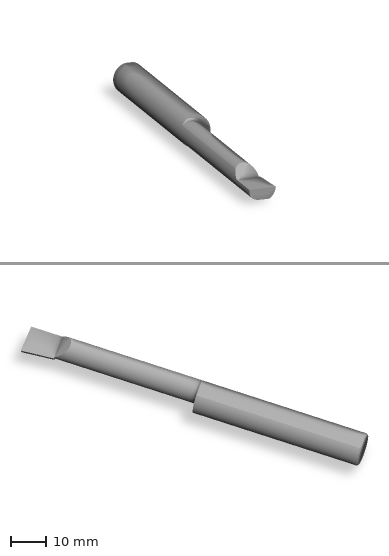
import cadquery as cq
import math

total_length = 101.6

shank_diameter = 9.5
shank_radius = shank_diameter / 2
shank_length = 49.5
shank_chamfer = 0.4
flat_height = 4.5

neck_radius = 3.6
neck_axis_y = -1.5
neck_root_chamfer = 0.6

rake_face_start = 91.9
runout_angle = 45.0

tooth_tip_y = 3.3
tooth_back_y = 2.4
front_relief_angle = 8.0
end_cutting_angle = 2.0


def make_shank():
    shank = cq.Workplane("YZ").circle(shank_radius).extrude(shank_length)
    shank = shank.faces("<X").chamfer(shank_chamfer)
    flat_cutter = cq.Workplane("XY").workplane(offset=flat_height).rect(
        2 * total_length, shank_diameter
    ).extrude(shank_diameter)
    return shank.cut(flat_cutter)


def revolve_on_neck_axis(profile):
    """Turn an (x, radius) profile about the neck axis."""
    return (
        cq.Workplane("XY", origin=(0, neck_axis_y, 0))
        .polyline(profile)
        .close()
        .revolve(360, (0, 0, 0), (1, 0, 0))
    )


def make_neck():
    """Round neck with a conical root, cut back to the rake face by a sloping runout."""
    neck = revolve_on_neck_axis([
        (shank_length, 0),
        (shank_length, neck_radius + neck_root_chamfer),
        (shank_length + neck_root_chamfer, neck_radius),
        (total_length, neck_radius),
        (total_length, 0),
    ])
    runout_length = shank_diameter / math.tan(math.radians(runout_angle))
    rake_cutter = (
        cq.Workplane("XZ")
        .polyline([
            (rake_face_start, 0),
            (total_length, 0),
            (total_length, shank_diameter),
            (rake_face_start - runout_length, shank_diameter),
        ])
        .close()
        .extrude(shank_diameter, both=True)
    )
    return neck.cut(rake_cutter)


def make_tooth():
    """Conical side edge below the rake face, no deeper than the neck."""
    tooth = revolve_on_neck_axis([
        (rake_face_start, 0),
        (rake_face_start, tooth_back_y - neck_axis_y),
        (total_length, tooth_tip_y - neck_axis_y),
        (total_length, 0),
    ])
    tooth_space = cq.Workplane("XY", origin=(0, neck_axis_y, -neck_radius)).box(
        total_length, shank_diameter, neck_radius, centered=False
    )
    return tooth.intersect(tooth_space)


def make_end_cutter():
    """Wedge that leans the end face back from the cutting corner."""
    relief = shank_diameter * math.tan(math.radians(front_relief_angle))
    cutter = (
        cq.Workplane("XZ", origin=(total_length, tooth_tip_y, 0))
        .polyline([
            (0, 0),
            (-relief, -shank_diameter),
            (shank_diameter, -shank_diameter),
            (shank_diameter, 0),
        ])
        .close()
        .extrude(2 * shank_diameter, both=True)
    )
    corner = (total_length, tooth_tip_y, 0)
    corner_above = (total_length, tooth_tip_y, 1)
    return cutter.rotate(corner, corner_above, -end_cutting_angle)


envelope = cq.Workplane("YZ").circle(shank_radius).extrude(total_length)
cutting_end = make_neck().union(make_tooth()).intersect(envelope).cut(make_end_cutter())
result = make_shank().union(cutting_end)